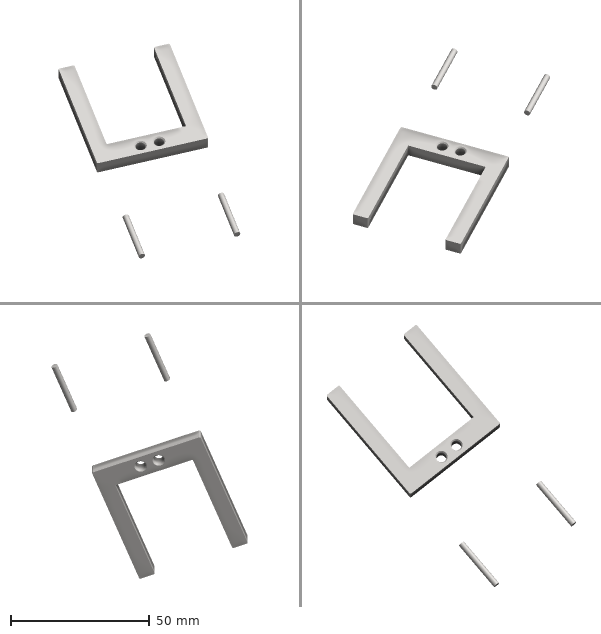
import cadquery as cq

overall_length = 93.5

fork_length = 48.0
fork_width = 42.0
fork_height = 5.0
arm_width = 6.0
web_width = 7.95
corner_chamfer = 0.3
arm_center_y = (fork_width - arm_width) / 2
inner_gap = fork_width - 2 * arm_width

mount_hole_diameter = 3.6
mount_hole_chamfer = 0.5
mount_hole_spacing = 7.0
mount_hole_x = fork_length - 3.7

beam_hole_diameter = 0.75
beam_hole_depth = arm_width / 2
beam_hole_x = 3.0

pin_diameter = 2.3
pin_length = 20.0
pin_start_x = overall_length - pin_length


def make_fork():
    """U-shaped fork with slightly chamfered outer and tip corners and all its holes."""
    block = cq.Workplane("XY").box(
        fork_length, fork_width, fork_height, centered=(False, True, False)
    )
    opening = cq.Workplane("XY").box(
        fork_length - web_width, inner_gap, fork_height, centered=(False, True, False)
    )
    fork = block.cut(opening).edges("|Z and (<X or >X)").chamfer(corner_chamfer)
    return fork.cut(make_mount_hole_cutters()).cut(make_beam_hole_cutter())


def make_mount_hole_cutters():
    """Two through holes, chamfered at both faces of the web."""
    half_spacing = mount_hole_spacing / 2
    centers = [(mount_hole_x, -half_spacing), (mount_hole_x, half_spacing)]
    hole_radius = mount_hole_diameter / 2
    rim_radius = hole_radius + mount_hole_chamfer
    profile = (
        cq.Workplane("XZ")
        .moveTo(0, 0)
        .lineTo(rim_radius, 0)
        .lineTo(hole_radius, mount_hole_chamfer)
        .lineTo(hole_radius, fork_height - mount_hole_chamfer)
        .lineTo(rim_radius, fork_height)
        .lineTo(0, fork_height)
        .close()
    )
    cutter = profile.revolve(360, (0, 0, 0), (0, 1, 0)).val()
    return cq.Workplane("XY").pushPoints(centers).eachpoint(lambda place: cutter.moved(place))


def make_beam_hole_cutter():
    """One rod across the opening that drills a blind hole into each arm."""
    rod_length = inner_gap + 2 * beam_hole_depth
    return (
        cq.Workplane("XZ")
        .center(beam_hole_x, fork_height / 2)
        .circle(beam_hole_diameter / 2)
        .extrude(rod_length / 2, both=True)
    )


def make_pin(center_y):
    """Plain round pin along X at mid-height of the fork."""
    return (
        cq.Workplane("YZ", origin=(pin_start_x, center_y, fork_height / 2))
        .circle(pin_diameter / 2)
        .extrude(pin_length)
    )


fork = make_fork()
pins = [make_pin(side * arm_center_y).val() for side in (-1, 1)]

result = cq.Compound.makeCompound([fork.val(), *pins])